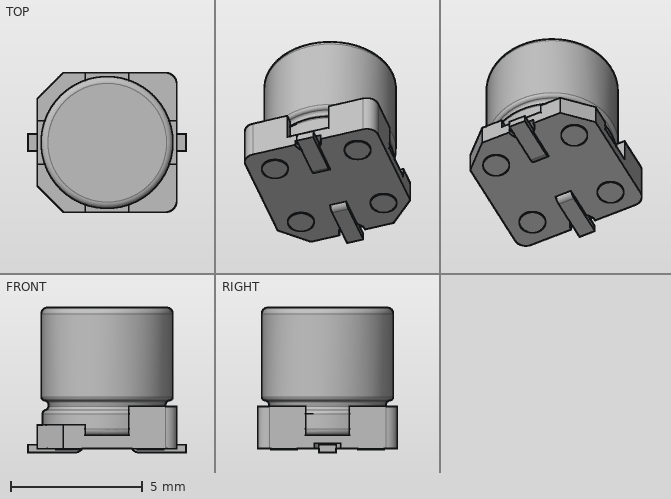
import cadquery as cq
import math

base_bottom = 0.15
foot_bottom = 0.1
floor_top = 0.65
low_corner_top = 1.05
high_corner_top = 1.75
total_height = 5.5

base_side = 5.3
chamfer_size = 1.0
corner_radius = 0.45
notch_width = 1.65

can_radius = 2.5
lower_radius = 2.45
neck_radius = 2.225
can_bottom_round = 0.25
can_top_round = 0.25
bead_round = 0.15
neck_bottom = 1.76
neck_top = 1.82

lead_span = 6.0
lead_width = 0.65
lead_thickness = 0.3
lead_inner_x = 0.9
pocket_radius = 0.51
pocket_top = 0.35

foot_diameter = 1.0
foot_y = 1.65
foot_x_chamfered_side = -1.45
foot_x_rounded_side = 1.65


def make_corner_post(x_side, y_side, top):
    """Block in one corner, from the bottom of the base up to the given height."""
    length = (base_side - notch_width) / 2
    offset = (base_side + notch_width) / 4
    return (
        cq.Workplane("XY", origin=(x_side * offset, y_side * offset, base_bottom))
        .rect(length, length)
        .extrude(top - base_bottom)
    )


def make_base():
    """Plate with two low chamfered corners (-X), two tall rounded ones (+X) and a can seat."""
    base = (
        cq.Workplane("XY", origin=(0, 0, base_bottom))
        .rect(base_side, base_side)
        .extrude(floor_top - base_bottom)
    )
    for y_side in (-1, 1):
        base = base.union(make_corner_post(-1, y_side, low_corner_top))
        base = base.union(make_corner_post(1, y_side, high_corner_top))

    outline = (
        cq.Workplane("XY", origin=(0, 0, base_bottom))
        .rect(base_side, base_side)
        .extrude(high_corner_top - base_bottom)
        .edges("|Z and <X").chamfer(chamfer_size)
        .edges("|Z and >X").fillet(corner_radius)
    )
    seat = (
        cq.Workplane("XY", origin=(0, 0, floor_top))
        .circle(lower_radius)
        .extrude(high_corner_top - floor_top)
    )
    return base.intersect(outline).cut(seat)


def bead_arc_points(depth):
    """Size of the S-bend of two equal arcs that steps in by `depth`.

    Returns the height of one arc, and the across and up offsets of its midpoint
    from the end where the wall is vertical.
    """
    sweep = math.acos(1 - depth / (2 * bead_round))
    arc_height = bead_round * math.sin(sweep)
    mid_across = bead_round * (1 - math.cos(sweep / 2))
    mid_up = bead_round * math.sin(sweep / 2)
    return arc_height, mid_across, mid_up


def make_can():
    """Revolved can with rounded ends and a rolled-in groove near the bottom."""
    lower_depth = lower_radius - neck_radius
    upper_depth = can_radius - neck_radius
    low_rise, low_across, low_up = bead_arc_points(lower_depth)
    high_rise, high_across, high_up = bead_arc_points(upper_depth)
    shoulder_z = neck_bottom - 2 * low_rise
    rim_z = neck_top + 2 * high_rise
    quarter_sag = 1 - math.sqrt(0.5)

    profile = (
        cq.Workplane("XZ")
        .moveTo(0, floor_top)
        .lineTo(lower_radius - can_bottom_round, floor_top)
        .threePointArc(
            (lower_radius - can_bottom_round * quarter_sag, floor_top + can_bottom_round * quarter_sag),
            (lower_radius, floor_top + can_bottom_round),
        )
        .lineTo(lower_radius, shoulder_z)
        .threePointArc(
            (lower_radius - low_across, shoulder_z + low_up),
            (lower_radius - lower_depth / 2, shoulder_z + low_rise),
        )
        .threePointArc(
            (neck_radius + low_across, neck_bottom - low_up),
            (neck_radius, neck_bottom),
        )
        .lineTo(neck_radius, neck_top)
        .threePointArc(
            (neck_radius + high_across, neck_top + high_up),
            (neck_radius + upper_depth / 2, neck_top + high_rise),
        )
        .threePointArc(
            (can_radius - high_across, rim_z - high_up),
            (can_radius, rim_z),
        )
        .lineTo(can_radius, total_height - can_top_round)
        .threePointArc(
            (can_radius - can_top_round * quarter_sag, total_height - can_top_round * quarter_sag),
            (can_radius - can_top_round, total_height),
        )
        .lineTo(0, total_height)
        .close()
    )
    return profile.revolve(360, (0, 0, 0), (0, 1, 0))


def make_lead(x_side):
    """Flat lead whose inner end curves up into the base."""
    inner_x = x_side * lead_inner_x
    outer_x = x_side * lead_span / 2
    bend_x = inner_x + x_side * lead_thickness
    bend_mid_x = bend_x - x_side * lead_thickness * math.sqrt(0.5)
    bend_mid_z = lead_thickness * (1 - math.sqrt(0.5))
    return (
        cq.Workplane("XZ")
        .moveTo(outer_x, 0)
        .lineTo(bend_x, 0)
        .threePointArc((bend_mid_x, bend_mid_z), (inner_x, lead_thickness))
        .lineTo(outer_x, lead_thickness)
        .close()
        .extrude(lead_width / 2, both=True)
    )


def make_lead_pocket(x_side):
    """Round pocket in the side of the base, around the lead."""
    return (
        cq.Workplane("XY", origin=(x_side * base_side / 2, 0, base_bottom))
        .circle(pocket_radius)
        .extrude(pocket_top - base_bottom)
    )


def make_feet():
    """Four thin round feet under the corners of the base."""
    centres = [
        (x, y)
        for x in (foot_x_chamfered_side, foot_x_rounded_side)
        for y in (-foot_y, foot_y)
    ]
    return (
        cq.Workplane("XY", origin=(0, 0, foot_bottom))
        .pushPoints(centres)
        .circle(foot_diameter / 2)
        .extrude(base_bottom - foot_bottom)
    )


body = make_base()
for side in (-1, 1):
    body = body.cut(make_lead_pocket(side))
body = body.union(make_feet()).union(make_can())
for side in (-1, 1):
    body = body.union(make_lead(side))

result = body